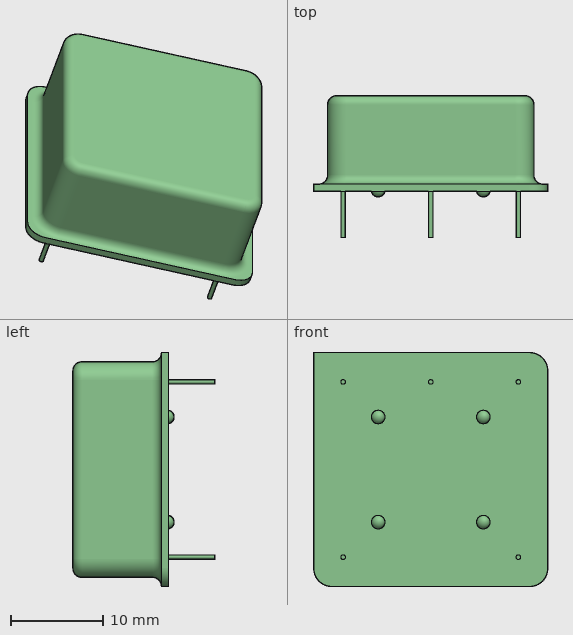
import cadquery as cq

plate_side = 25.4
plate_thickness = 0.8
plate_corner_radius = 2.0

can_width = 22.4
can_height = 23.4
overall_depth = 10.4
can_corner_radius = 2.0
can_back_fillet = 1.0
can_foot_fillet = 0.95

pin_diameter = 0.5
pin_length = 5.0
pin_offset = 9.5

bead_radius = 0.75
bead_height = 0.6
bead_offset = 5.7

corner_signs = [(-1, -1), (1, -1), (-1, 1), (1, 1)]
pin_points = [(sx * pin_offset, sz * pin_offset) for sx, sz in corner_signs]
pin_points.append((0, pin_offset))
bead_points = [(sx * bead_offset, sz * bead_offset) for sx, sz in corner_signs]


def make_plate():
    """Plate with three rounded corners; the -X, +Z corner stays square as an index."""
    plate = cq.Workplane("XY").box(
        plate_side, plate_thickness, plate_side, centered=(True, False, True)
    )
    bottom_corners = plate.edges("|Y").edges("<Z")
    top_right_corner = plate.edges("|Y").edges(">Z").edges(">X")
    return plate.newObject(bottom_corners.vals() + top_right_corner.vals()).fillet(plate_corner_radius)


def make_can():
    """Rounded box from the plate's front face to the back of the part."""
    can = cq.Workplane("XY").box(
        can_width, overall_depth, can_height, centered=(True, False, True)
    )
    return can.edges("|Y").fillet(can_corner_radius).faces(">Y").edges().fillet(can_back_fillet)


def add_foot_flare(body):
    """Concave fillet around the foot of the can, on the plate's back face."""
    margin = 0.1
    foot_zone = cq.selectors.BoxSelector(
        (-can_width / 2 - margin, plate_thickness - margin, -can_height / 2 - margin),
        (can_width / 2 + margin, plate_thickness + margin, can_height / 2 + margin),
    )
    return body.edges(foot_zone).fillet(can_foot_fillet)


def make_pin(x, z):
    """Round lead from the plate's front face."""
    return cq.Workplane("XZ").center(x, z).circle(pin_diameter / 2).extrude(pin_length)


def make_bead(x, z):
    """Sphere whose centre sits inside the plate so that only a cap projects."""
    return cq.Workplane("XY").sphere(bead_radius).translate((x, bead_radius - bead_height, z))


result = add_foot_flare(make_plate().union(make_can()))
for pin_x, pin_z in pin_points:
    result = result.union(make_pin(pin_x, pin_z))
for bead_x, bead_z in bead_points:
    result = result.union(make_bead(bead_x, bead_z))